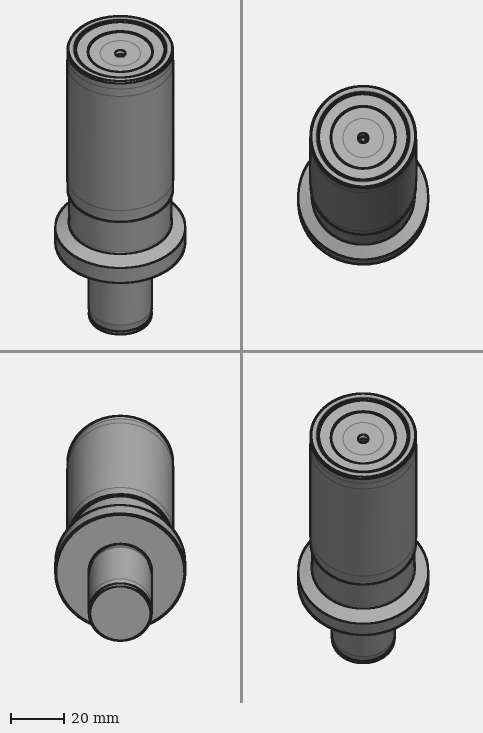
import cadquery as cq

total_height = 129.0
flange_bottom = 35.1
flange_top = 42.7
neck_bottom = 46.3
barrel_bottom = 60.9

flange_radius = 24.5
neck_radius = 19.2
barrel_radius = 20.0
bore_radius = 12.0
bore_chamfer = 0.3

flange_chamfer = 0.4
shoulder_radius = 19.5
shoulder_height = 0.9
barrel_chamfer = 0.4
end_relief = 0.06
bottom_band_top = 66.8
top_band_bottom = 121.9
top_band_middle = 125.4
top_chamfer_height = 0.9
top_chamfer_width = 0.4

rim_radius = 17.8
rim_round_radius = 17.3
rim_round_depth = 0.1
dish_radius = 16.6
dish_edge_depth = 0.6
dish_floor_radius = 7.6
dish_floor_depth = 2.3

rod_radius = bore_radius
relief_radius = 11.7
relief_bottom = 33.3
relief_run_out = 32.1
lead_in_top = 5.0
lead_in_bottom = 2.2
lead_in_radius = 11.7
end_bead_top = 1.8
end_bead_middle = 0.9
end_bead_radius = 11.9
end_face_radius = 11.4
center_mouth_radius = 1.9
center_drill_radius = 1.2
center_cone_depth = 1.3
center_drill_depth = 3.2
center_tip_depth = 3.9


def dish_height(radius):
    """Height of the conical dish surface at a given radius."""
    slope = (dish_floor_depth - dish_edge_depth) / (dish_radius - dish_floor_radius)
    return total_height - dish_edge_depth - slope * (dish_radius - radius)


def revolve_about_z(outline):
    """Close an outline of radius against height and turn it about the Z axis."""
    return outline.close().revolve(360, (0, 0, 0), (0, 1, 0))


def make_housing():
    """Flanged barrel with a through bore and a dished upper end."""
    band_radius = barrel_radius - end_relief
    bore_mouth_radius = bore_radius + bore_chamfer
    mouth_height = dish_height(bore_mouth_radius)
    points = [
        (bore_radius, flange_bottom),
        (flange_radius - flange_chamfer, flange_bottom),
        (flange_radius, flange_bottom + flange_chamfer),
        (flange_radius, flange_top),
        (shoulder_radius, neck_bottom - shoulder_height),
        (neck_radius, neck_bottom),
        (neck_radius, barrel_bottom),
        (band_radius - barrel_chamfer, barrel_bottom),
        (band_radius, barrel_bottom + barrel_chamfer),
        (barrel_radius, bottom_band_top),
        (barrel_radius, top_band_bottom),
        (band_radius, top_band_middle),
        (band_radius, total_height - top_chamfer_height),
        (band_radius - top_chamfer_width, total_height),
        (rim_radius, total_height),
        (rim_round_radius, total_height - rim_round_depth),
        (dish_radius, total_height - dish_edge_depth),
        (bore_mouth_radius, mouth_height),
        (bore_radius, mouth_height - bore_chamfer),
    ]
    return revolve_about_z(cq.Workplane("XZ").polyline(points))


def make_rod():
    """Rod filling the bore, with a rounded lower end, a relief below the flange and a center hole on top."""
    floor_height = total_height - dish_floor_depth
    edge_height = dish_height(bore_radius + bore_chamfer) - bore_chamfer
    cone_bottom = floor_height - center_cone_depth
    outline = (
        cq.Workplane("XZ")
        .lineTo(end_face_radius, 0)
        .threePointArc((end_bead_radius, end_bead_middle), (lead_in_radius, end_bead_top))
        .lineTo(lead_in_radius, lead_in_bottom)
    )
    upper_points = [
        (rod_radius, lead_in_top),
        (rod_radius, relief_run_out),
        (relief_radius, relief_bottom),
        (relief_radius, flange_bottom),
        (rod_radius, flange_bottom),
        (rod_radius, edge_height),
        (dish_floor_radius, floor_height),
        (center_mouth_radius, floor_height),
        (center_drill_radius, cone_bottom),
        (center_drill_radius, floor_height - center_drill_depth),
        (0, floor_height - center_tip_depth),
    ]
    for radius, height in upper_points:
        outline = outline.lineTo(radius, height)
    return revolve_about_z(outline)


housing = make_housing()
rod = make_rod()
result = cq.Compound.makeCompound([housing.val(), rod.val()])